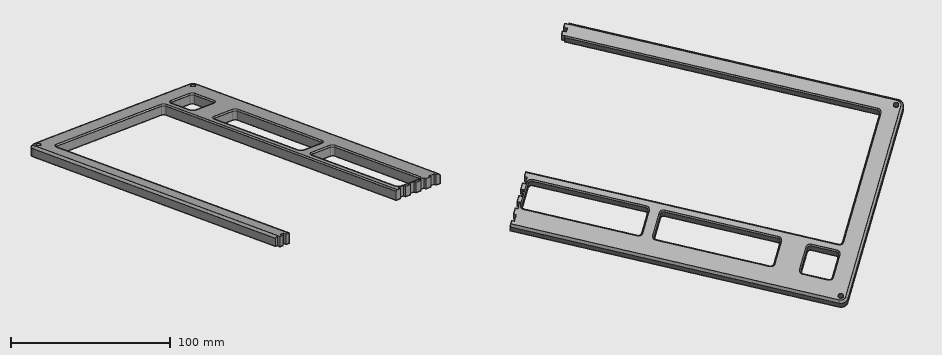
import cadquery as cq

total_length = 219.8
width = 147.3
thickness = 7.0
prong_length = 2.5
body_length = total_length - prong_length
corner_radius = 4.6
outer_chamfer = 1.5

inner_chamfer = 0.9
inner_radius = 2.0
spine_width = 13.2
lower_arm_width = 10.8
upper_arm_width = 39.5
window_height = 20.0
window_bottom = 113.2
square_window_length = 20.2
long_window_length = 77.4
long_window_starts = (51.0, 136.5)

pin_hole_diameter = 3.3

notch_count = 4
notch_pitch = 9.0
notch_width = 4.6
notch_depth = 1.8

prong_width = 2.9
prong_bottom = outer_chamfer
prong_top = lower_arm_width - inner_chamfer

overshoot = 11.0


def corner_box(x_start, y_start, length, depth):
    """Full-thickness box placed by its low X, low Y corner."""
    box = cq.Workplane("XY").box(length, depth, thickness, centered=False)
    return box.translate((x_start, y_start, 0))


def opening(x_start, y_start, length, depth):
    """Rounded through opening whose top rim flares out as a chamfer."""
    profile = (
        cq.Sketch()
        .rect(length, depth)
        .vertices()
        .fillet(inner_radius)
    )
    centre = (x_start + length / 2, y_start + depth / 2)
    walls = cq.Workplane("XY").center(*centre).placeSketch(profile).extrude(thickness)
    flare = (
        cq.Workplane("XY", origin=(0, 0, thickness - inner_chamfer))
        .center(*centre)
        .placeSketch(profile)
        .extrude(inner_chamfer, taper=-45)
    )
    return walls.union(flare)


plate = corner_box(0, 0, body_length + overshoot, width)
plate = plate.edges("|Z and <X").fillet(corner_radius)
plate = plate.faces(">Z").chamfer(outer_chamfer)
result = plate.intersect(corner_box(0, 0, body_length, width))

gap_depth = width - upper_arm_width - lower_arm_width
gap_length = body_length + overshoot - spine_width
result = result.cut(opening(spine_width, lower_arm_width, gap_length, gap_depth))

result = result.cut(opening(spine_width, window_bottom, square_window_length, window_height))
for window_start in long_window_starts:
    result = result.cut(opening(window_start, window_bottom, long_window_length, window_height))

for hole_y in (corner_radius, width - corner_radius):
    pin_hole = (
        cq.Workplane("XY")
        .center(corner_radius, hole_y)
        .circle(pin_hole_diameter / 2)
        .extrude(thickness)
    )
    result = result.cut(pin_hole)

upper_arm_middle = width - upper_arm_width / 2
for index in range(notch_count):
    notch_middle = upper_arm_middle + (index - (notch_count - 1) / 2) * notch_pitch
    notch = corner_box(
        body_length - notch_depth, notch_middle - notch_width / 2, notch_depth, notch_width
    )
    result = result.cut(notch)

prong_root = 2.2
for prong_start in (prong_bottom, prong_top - prong_width):
    prong = corner_box(
        body_length - prong_root, prong_start, prong_length + prong_root, prong_width
    )
    result = result.union(prong)